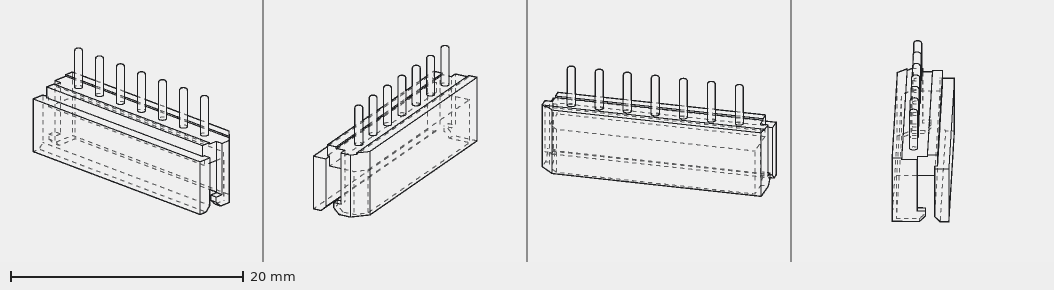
import cadquery as cq

length = 19.9
depth = 4.9
total_height = 9.4
body_height = 5.95

rear_depth = 2.17
rear_front_y = depth - rear_depth
lip_reach = 0.72
lip_height = 1.01
lip_chamfer = 0.54
corner_chamfer = 1.23

front_thickness = 1.23
front_height = 4.94
front_chamfer = 0.48
bridge_front_y = 1.0
bridge_bottom = 4.02
end_setback = 0.68

channel_front_y = 1.87
channel_back_y = 4.05
channel_depth = 0.14
channel_floor = body_height - channel_depth

back_wall = 0.38

pin_count = 7
pin_span = 15.0
pin_pitch = pin_span / (pin_count - 1)
pin_diameter = 0.7
pin_tip_radius = 0.2
pin_y = 3.1


def box(x0, x1, y0, y1, z0, z1):
    """Block between opposite corner coordinates."""
    return cq.Workplane("XY").box(x1 - x0, y1 - y0, z1 - z0, centered=False).translate((x0, y0, z0))


def extrude_along_length(outline):
    """Full-length bar from a closed (y, z) outline."""
    return cq.Workplane("YZ").polyline(outline).close().extrude(length)


def make_rear_block():
    lip_y = rear_front_y - lip_reach
    outline = [
        (depth, 0),
        (depth, body_height),
        (rear_front_y, body_height),
        (rear_front_y, lip_height),
        (lip_y, lip_height),
        (lip_y, lip_chamfer),
        (lip_y + lip_chamfer, 0),
    ]
    block = extrude_along_length(outline)
    return block.edges("|Z and >X and >Y").chamfer(corner_chamfer)


def make_cavity():
    """Space between the end walls; its right rear corner follows the outer chamfer."""
    lip_y = rear_front_y - lip_reach
    cavity = box(end_setback, length - end_setback, lip_y, depth - back_wall, 0, bridge_bottom)
    return cavity.edges("|Z and >X and >Y").chamfer(corner_chamfer - back_wall)


def make_front_wall():
    outline = [
        (0, 0),
        (0, front_height),
        (front_thickness, front_height),
        (front_thickness, front_chamfer),
        (front_thickness - front_chamfer, 0),
    ]
    return extrude_along_length(outline)


def make_bridge():
    return box(end_setback, length - end_setback, bridge_front_y, rear_front_y, bridge_bottom, body_height)


def make_pins():
    first_x = (length - pin_span) / 2
    centers = [(first_x + i * pin_pitch, pin_y) for i in range(pin_count)]
    pins = (
        cq.Workplane("XY").workplane(offset=bridge_bottom)
        .pushPoints(centers)
        .circle(pin_diameter / 2)
        .extrude(total_height - bridge_bottom)
    )
    return pins.faces(">Z").edges().fillet(pin_tip_radius)


channel = box(0, length, channel_front_y, channel_back_y, channel_floor, body_height)

result = (
    make_rear_block()
    .cut(make_cavity())
    .union(make_bridge())
    .union(make_front_wall())
    .cut(channel)
    .union(make_pins())
)